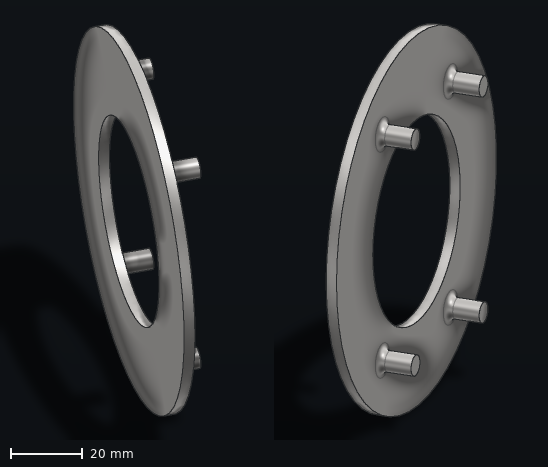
import cadquery as cq

outer_diameter = 110.0
bore_diameter = 60.0
total_depth = 13.2
pin_length = 10.0
ring_thickness = total_depth - pin_length

pin_diameter = 6.0
pin_spacing_x = 46.8
pin_spacing_z = 66.9
root_fillet = 2.0


def make_ring():
    ring = cq.Workplane("XZ").circle(outer_diameter / 2).circle(bore_diameter / 2)
    return ring.extrude(-ring_thickness)


def make_pins():
    corners = cq.Workplane("XZ").rect(pin_spacing_x, pin_spacing_z, forConstruction=True).vertices()
    return corners.circle(pin_diameter / 2).extrude(-total_depth)


def fillet_pin_roots(body):
    back_face = body.faces(">Y[-2]")
    return back_face.edges(cq.selectors.RadiusNthSelector(0)).fillet(root_fillet)


result = fillet_pin_roots(make_ring().union(make_pins()))